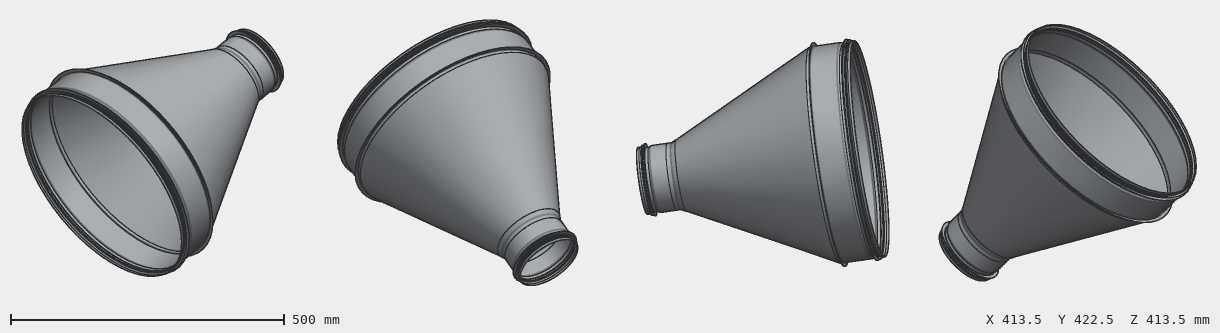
import cadquery as cq

length = 422.5
sheet = 0.5

large_diameter = 400.0
large_bore = 393.0
large_fins = (405.5, 408.8)
small_diameter = 124.0
small_bore = 118.2
small_fins = (129.5, 134.3)

curl_radius = 1.3
rim_end = 5.0
groove_start = 8.5
groove_end = 21.0
groove_shoulder = 25.0

bend_length = 0.65

seal_band = 0.5
seal_end = 15.5
fin_thickness = 1.3
short_fin_root = 10.0
short_fin_tip = 9.0

seam_y = 75.5
seam_diameter = 413.5
seam_bend_radius = 1.0

cone_start_y = 82.5
cone_end_y = 359.0
spigot_end_y = 367.5
skirt_end_y = 349.5

large_radius = large_diameter / 2
small_radius = small_diameter / 2
spigot_radius = small_radius - sheet
cone_slope = (large_radius - spigot_radius) / (cone_end_y - cone_start_y)
diagonal = 0.5 ** 0.5


def turned(profile):
    """Turn a (radius, Y) profile about the Y axis, closing it first."""
    return profile.close().revolve(360, (0, 0, 0), (0, 1, 0))


def add_bend(profile, before, corner, after):
    """Run towards a corner and round it with an arc tangent to both of its sides."""
    corner = cq.Vector(*corner)
    start = corner + (cq.Vector(*before) - corner).normalized() * bend_length
    end = corner + (cq.Vector(*after) - corner).normalized() * bend_length
    return profile.lineTo(start.x, start.y).tangentArcPoint((end.x, end.y), relative=False)


def inside_of(outline):
    """Inside of a sheet wall, one thickness nearer the axis, in reverse order."""
    return [(radius - sheet, y) for radius, y in reversed(outline)]


def collar_outline(radius, bore, end_y, inward):
    """Outside of a collar from its curled lip to the groove shoulder; inward is +1 or -1 along Y."""
    groove_radius = bore / 2 + sheet
    stations = [
        (radius, curl_radius),
        (radius, rim_end),
        (groove_radius, groove_start),
        (groove_radius, groove_end),
        (radius, groove_shoulder),
    ]
    return [(r, end_y + inward * distance) for r, distance in stations]


def start_at_lip(radius, end_y, inward):
    """Start a profile with the outer curve of the lip, ending on the rim's outside."""
    centre_r = radius - curl_radius
    centre_y = end_y + inward * curl_radius
    reach = curl_radius * diagonal
    return (
        cq.Workplane("XY")
        .moveTo(centre_r, end_y)
        .threePointArc((centre_r + reach, centre_y - inward * reach), (radius, centre_y))
    )


def finish_at_lip(profile, radius, end_y, inward):
    """Finish a profile with the inner curve of the lip, starting on the rim's inside."""
    centre_r = radius - curl_radius
    centre_y = end_y + inward * curl_radius
    inner_curl = curl_radius - sheet
    reach = inner_curl * diagonal
    return profile.threePointArc(
        (centre_r + reach, centre_y - inward * reach),
        (centre_r, end_y + inward * sheet),
    )


def add_seam_flange(profile, away):
    """Lead a profile from the wall's outside round the seam flange to the wall's inside.

    away is the direction along Y from the seam plane towards the body.
    """
    centre_r = large_radius + seam_bend_radius
    centre_y = seam_y + away * (sheet + seam_bend_radius)
    outer_reach = seam_bend_radius * diagonal
    inner_reach = (seam_bend_radius + sheet) * diagonal
    return (
        profile
        .lineTo(large_radius, centre_y)
        .threePointArc(
            (centre_r - outer_reach, centre_y - away * outer_reach),
            (centre_r, seam_y + away * sheet),
        )
        .lineTo(seam_diameter / 2, seam_y + away * sheet)
        .lineTo(seam_diameter / 2, seam_y)
        .lineTo(centre_r, seam_y)
        .threePointArc(
            (centre_r - inner_reach, centre_y - away * inner_reach),
            (large_radius - sheet, centre_y),
        )
    )


def make_large_collar():
    """Wide collar from the mouth to the seam."""
    outline = collar_outline(large_radius, large_bore, 0, 1)
    seam_side = (large_radius, seam_y)
    profile = start_at_lip(large_radius, 0, 1)
    for point in outline[1:-1]:
        profile = profile.lineTo(*point)
    profile = add_bend(profile, outline[-2], outline[-1], seam_side)
    profile = add_seam_flange(profile, -1)
    inside = inside_of(outline + [seam_side])
    profile = add_bend(profile, *inside[:3])
    for point in inside[2:]:
        profile = profile.lineTo(*point)
    return turned(finish_at_lip(profile, large_radius, 0, 1))


def make_cone():
    """Cone with a seam flange at its wide end and a spigot at its narrow end."""
    outline = [
        (spigot_radius, spigot_end_y),
        (spigot_radius, cone_end_y),
        (large_radius, cone_start_y),
    ]
    inside = inside_of(outline)
    profile = add_bend(cq.Workplane("XY").moveTo(*outline[0]), *outline)
    profile = add_seam_flange(profile.lineTo(*outline[-1]), 1)
    profile = add_bend(profile.lineTo(*inside[0]), *inside)
    return turned(profile.lineTo(*inside[-1]))


def make_small_collar():
    """Narrow collar, pushed over the spigot with its skirt lying on the cone."""
    skirt_radius = small_radius + cone_slope * (cone_end_y - skirt_end_y)
    outline = collar_outline(small_radius, small_bore, length, -1)
    outline += [(small_radius, cone_end_y), (skirt_radius, skirt_end_y)]
    inside = inside_of(outline)
    profile = start_at_lip(small_radius, length, -1)
    for point in outline[1:-3]:
        profile = profile.lineTo(*point)
    profile = add_bend(profile, *outline[-4:-1])
    profile = add_bend(profile, *outline[-3:])
    profile = profile.lineTo(*outline[-1]).lineTo(*inside[0])
    profile = add_bend(profile, *inside[:3])
    profile = add_bend(profile, *inside[1:4])
    for point in inside[3:]:
        profile = profile.lineTo(*point)
    return turned(finish_at_lip(profile, small_radius, length, -1))


def make_seal(bore, fins, end_y, inward):
    """Rubber band in the groove, with a short leaning fin and a tall straight one."""
    inner = bore / 2 + sheet
    outer = inner + seal_band
    short_tip, tall_tip = (diameter / 2 for diameter in fins)
    tall_fin_start = seal_end - fin_thickness
    stations = [
        (inner, groove_start),
        (outer, groove_start),
        (outer, short_fin_root),
        (short_tip, short_fin_tip),
        (short_tip, short_fin_tip + fin_thickness),
        (outer, short_fin_root + fin_thickness),
        (outer, tall_fin_start),
        (tall_tip, tall_fin_start),
        (tall_tip, seal_end),
        (inner, seal_end),
    ]
    outline = [(r, end_y + inward * distance) for r, distance in stations]
    return turned(cq.Workplane("XY").polyline(outline))


cone = make_cone()
large_collar = make_large_collar()
small_collar = make_small_collar()
large_seal = make_seal(large_bore, large_fins, 0, 1)
small_seal = make_seal(small_bore, small_fins, length, -1)

result = cq.Compound.makeCompound(
    [cone.val(), large_collar.val(), small_collar.val(), large_seal.val(), small_seal.val()]
)